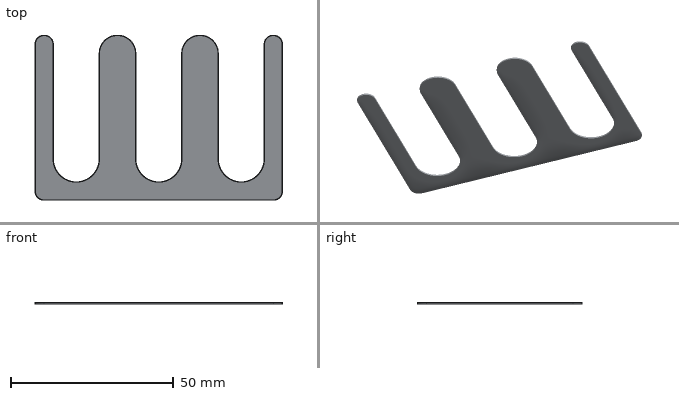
import cadquery as cq

length = 76.2
thickness = 0.5
slot_count = 3
inner_finger_width = 11.3

pitch = length / slot_count
depth = 2 * pitch
slot_width = pitch - inner_finger_width
slot_radius = slot_width / 2
outer_finger_width = inner_finger_width / 2
spine_width = outer_finger_width
corner_radius = outer_finger_width / 2
slot_end_y = spine_width + slot_radius


def finger(left, width):
    """Finger running from the spine's outer edge to a fully rounded tip."""
    tip_radius = width / 2
    shoulder_y = depth - tip_radius
    return (
        cq.Workplane("XY")
        .moveTo(left, 0)
        .lineTo(left + width, 0)
        .lineTo(left + width, shoulder_y)
        .threePointArc((left + tip_radius, depth), (left, shoulder_y))
        .close()
        .extrude(thickness)
    )


def slot(center_x):
    """Cutter for an open slot with a semicircular inner end."""
    left = center_x - slot_radius
    right = center_x + slot_radius
    return (
        cq.Workplane("XY")
        .moveTo(left, depth)
        .lineTo(left, slot_end_y)
        .threePointArc((center_x, spine_width), (right, slot_end_y))
        .lineTo(right, depth)
        .close()
        .extrude(thickness)
    )


comb = cq.Workplane("XY").box(length, slot_end_y, thickness, centered=False)

comb = comb.union(finger(0, outer_finger_width))
for index in range(1, slot_count):
    comb = comb.union(finger(index * pitch - inner_finger_width / 2, inner_finger_width))
comb = comb.union(finger(length - outer_finger_width, outer_finger_width))

for index in range(slot_count):
    comb = comb.cut(slot((index + 0.5) * pitch))

comb = comb.clean()
comb = comb.faces("<Y").edges("|Z").fillet(corner_radius)

result = comb.translate((-length / 2, -depth / 2, -thickness / 2))